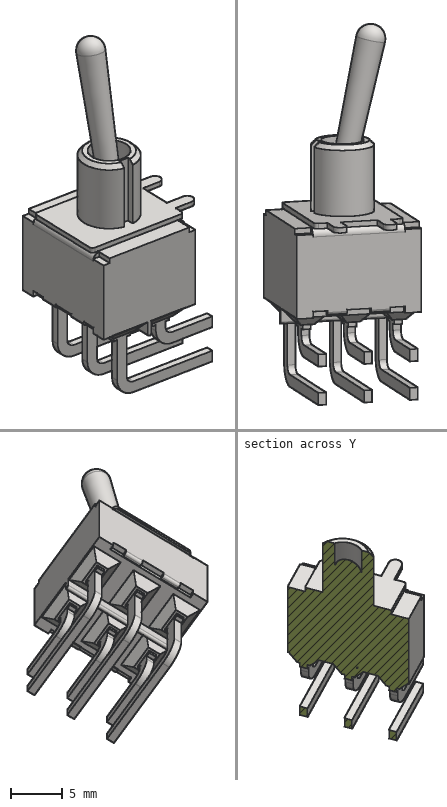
import cadquery as cq
import math


body_length_x = 12.7
body_width_y = 11.5
tip_top_z = 35.9
pin_reach_y = 8.87

base_bottom_z = 8.08
cover_bottom_z = 8.73
end_ledge_z = 16.4
cover_top_z = 16.95
plate_top_z = 17.5
bushing_top_z = 24.53

cover_length_x = 9.4
cover_fold_radius = 0.75
cover_recess = 0.55
clinch_spacing = 4.4
clinch_width = 1.98
clinch_bottom_z = 8.25
clinch_bend_radius = 0.32

end_strip_width_y = 10.0

plate_length_x = 9.05
plate_corner_radius = 0.35
tab_spacing = 5.1
tab_width = 1.35
tab_reach_y = 8.45

bushing_diameter = 6.2
bushing_chamfer = 0.45
bore_diameter = 4.2
keyway_width = 1.08
keyway_floor_x = 2.3

lever_tilt = 12.4
pivot_z = 21.35
lever_root_diameter = 2.25
lever_tip_diameter = 2.9

pin_pitch_x = 4.67
row_spacing_y = 4.85
pin_thickness_x = 0.83
pin_width = 1.22
pin_bend_inner_diameter = 1.65
lower_pin_z = 0.0
upper_pin_z = 3.85
shoulder_width_y = 2.1
shoulder_bottom_z = 6.55
seal_bottom_z = 7.05
seal_top_x = 3.15
seal_top_y = 4.38
seal_bottom_x = 1.35
seal_bottom_y = 2.6

divider_thickness = 0.45
divider_bottom_z = 6.55


def block(size_x, size_y, bottom_z, top_z, center_x=0.0, center_y=0.0):
    """Rectangular block between two heights."""
    box = cq.Workplane("XY").box(size_x, size_y, top_z - bottom_z, centered=(True, True, False))
    return box.translate((center_x, center_y, bottom_z))


def make_base():
    """Base with full-width ends and a narrower middle that carries the cover."""
    end_length = (body_length_x - cover_length_x) / 2
    end_center = (body_length_x + cover_length_x) / 4
    base = block(cover_length_x, body_width_y - 2 * cover_recess, base_bottom_z, cover_bottom_z)
    for side in (-1, 1):
        base = base.union(block(end_length, body_width_y, base_bottom_z, end_ledge_z, side * end_center))
        base = base.union(block(end_length, end_strip_width_y, end_ledge_z, cover_top_z, side * end_center))
    return base


def make_cover():
    """Cover with rounded top folds and clinch tabs bent under its lower edges."""
    cover = block(cover_length_x, body_width_y, cover_bottom_z, cover_top_z)
    cover = cover.edges("|X and >Z").fillet(cover_fold_radius)
    for face in (-1, 1):
        tab_center_y = face * (body_width_y - cover_recess) / 2
        outer_edge = "|X and <Z and " + (">Y" if face > 0 else "<Y")
        for side in (-1, 1):
            clinch = block(clinch_width, cover_recess, clinch_bottom_z, cover_bottom_z,
                           side * clinch_spacing / 2, tab_center_y)
            cover = cover.union(clinch.edges(outer_edge).fillet(clinch_bend_radius))
    return cover


def make_top_plate():
    """Plate on top of the cover with two round-ended mounting tabs toward +Y."""
    plate = block(plate_length_x, body_width_y, cover_top_z, plate_top_z)
    plate = plate.edges("|Z").fillet(plate_corner_radius)
    for side in (-1, 1):
        tab = block(tab_width, tab_reach_y - tab_width / 2, cover_top_z, plate_top_z,
                    side * tab_spacing / 2, (tab_reach_y - tab_width / 2) / 2)
        tab_end = (
            cq.Workplane("XY", origin=(side * tab_spacing / 2, tab_reach_y - tab_width / 2, cover_top_z))
            .circle(tab_width / 2)
            .extrude(plate_top_z - cover_top_z)
        )
        plate = plate.union(tab).union(tab_end)
    return plate


def make_bushing():
    """Chamfered bushing, bored down to the lever pivot, with a keyway along its +X side."""
    bushing = (
        cq.Workplane("XY", origin=(0, 0, plate_top_z))
        .circle(bushing_diameter / 2)
        .extrude(bushing_top_z - plate_top_z)
        .faces(">Z").chamfer(bushing_chamfer)
    )
    bore = (
        cq.Workplane("XY", origin=(0, 0, pivot_z))
        .circle(bore_diameter / 2)
        .extrude(bushing_top_z - pivot_z)
    )
    keyway_depth = bushing_diameter / 2 - keyway_floor_x
    keyway = block(keyway_depth, keyway_width, plate_top_z, bushing_top_z,
                   keyway_floor_x + keyway_depth / 2)
    return bushing.cut(bore).cut(keyway)


def make_lever():
    """Tapered lever with a domed tip, tilted toward -X about the pivot, on a ball in the bore."""
    tip_radius = lever_tip_diameter / 2
    shaft_length = (tip_top_z - tip_radius - pivot_z) / math.cos(math.radians(lever_tilt))
    dome_angle = math.radians(45)
    dome_mid = (tip_radius * math.cos(dome_angle), shaft_length + tip_radius * math.sin(dome_angle))
    shaft = (
        cq.Workplane("XZ")
        .lineTo(lever_root_diameter / 2, 0)
        .lineTo(tip_radius, shaft_length)
        .threePointArc(dome_mid, (0, shaft_length + tip_radius))
        .close()
        .revolve(360, (0, 0), (0, 1))
        .rotate((0, 0, 0), (0, 1, 0), -lever_tilt)
    )
    ball = cq.Workplane("XY").sphere(bore_diameter / 2)
    return ball.union(shaft).translate((0, 0, pivot_z))


def make_seal(x, y):
    """Tapered seal around one terminal where it leaves the base."""
    return (
        cq.Workplane("XY", origin=(x, y, base_bottom_z))
        .rect(seal_top_x, seal_top_y)
        .workplane(offset=seal_bottom_z - base_bottom_z)
        .rect(seal_bottom_x, seal_bottom_y)
        .loft()
    )


def make_terminal(x, y, tail_z):
    """Shouldered flat pin that drops from the base and bends toward +Y at tail height."""
    front = y - pin_width / 2
    back = y + pin_width / 2
    inner_radius = pin_bend_inner_diameter / 2
    outer_radius = inner_radius + pin_width
    pin = (
        cq.Workplane("YZ", origin=(x - pin_thickness_x / 2, 0, 0))
        .moveTo(front, base_bottom_z)
        .lineTo(front, tail_z + outer_radius)
        .radiusArc((front + outer_radius, tail_z), -outer_radius)
        .lineTo(pin_reach_y, tail_z)
        .lineTo(pin_reach_y, tail_z + pin_width)
        .lineTo(back + inner_radius, tail_z + pin_width)
        .radiusArc((back, tail_z + outer_radius), inner_radius)
        .lineTo(back, base_bottom_z)
        .close()
        .extrude(pin_thickness_x)
    )
    shoulder = block(pin_thickness_x, shoulder_width_y, shoulder_bottom_z, base_bottom_z, x, y)
    return pin.union(shoulder)


def make_divider():
    """Thin rib with a rounded lower edge across the underside."""
    round_radius = divider_thickness / 2
    straight_bottom_z = divider_bottom_z + round_radius
    return (
        cq.Workplane("YZ", origin=(-body_length_x / 2, 0, 0))
        .moveTo(-round_radius, cover_bottom_z)
        .lineTo(-round_radius, straight_bottom_z)
        .threePointArc((0, divider_bottom_z), (round_radius, straight_bottom_z))
        .lineTo(round_radius, cover_bottom_z)
        .close()
        .extrude(body_length_x)
    )


result = make_base().union(make_cover()).union(make_top_plate())
result = result.union(make_bushing()).union(make_lever()).union(make_divider())
for row_y, row_tail_z in ((-row_spacing_y / 2, lower_pin_z), (row_spacing_y / 2, upper_pin_z)):
    for column in (-1, 0, 1):
        pin_x = column * pin_pitch_x
        result = result.union(make_seal(pin_x, row_y))
        result = result.union(make_terminal(pin_x, row_y, row_tail_z))